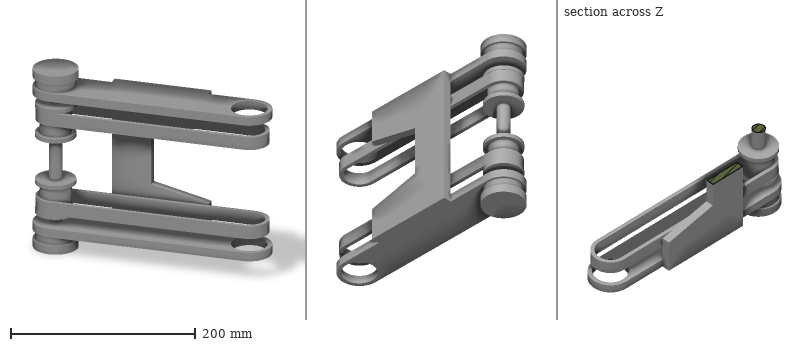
import cadquery as cq

AXIS_SPACING = 220.0

ROD_DIAMETER = 15.0
FLANGE_DIAMETER = 45.0
HUB_DIAMETER = 35.0
CAP_DIAMETER = 50.0
CAP_THICKNESS = 10.0
COLLAR_DIAMETER = 45.0
COLLAR_THICKNESS = 10.0

ARM_WIDTH = 50.0
ARM_THICKNESS = 10.0
ARM_OUTER_Z = 85.0
ARM_INNER_Z = ARM_OUTER_Z - ARM_THICKNESS
ARM_HOLE_DIAMETER = 40.0

PULLEY_INNER_Z = 25.0
PULLEY_OUTER_Z = 65.0
FLANGE_THICKNESS = 5.0
BELT_WIDTH = 15.0
BELT_OUTER_DIAMETER = 44.0
BELT_OUTER_Z = PULLEY_OUTER_Z - FLANGE_THICKNESS
BELT_INNER_Z = BELT_OUTER_Z - BELT_WIDTH
HUB_INNER_Z = PULLEY_INNER_Z + FLANGE_THICKNESS

BACK_THICKNESS = 10.0
BACK_LEFT_X = 56.0
BACK_LENGTH = 110.0
BACK_RIGHT_X = BACK_LEFT_X + BACK_LENGTH
NOTCH_BOTTOM_X = 100.7
NOTCH_BOTTOM_HALF_HEIGHT = 30.0
NOTCH_MOUTH_HALF_HEIGHT = 45.0


def disc(diameter, z_low, z_high):
    """Solid cylinder on the rod axis between two heights."""
    return cq.Workplane("XY").workplane(offset=z_low).circle(diameter / 2).extrude(z_high - z_low)


def round_ended_bar(width, z_low, z_high):
    """Bar with full-round ends, centred on the rod axis and the far arm axis."""
    return (
        cq.Workplane("XY")
        .workplane(offset=z_low)
        .center(AXIS_SPACING / 2, 0)
        .slot2D(AXIS_SPACING + width, width)
        .extrude(z_high - z_low)
    )


def arm():
    """Upper arm plate with the open hole at its far end."""
    plate = round_ended_bar(ARM_WIDTH, ARM_INNER_Z, ARM_OUTER_Z)
    hole = disc(ARM_HOLE_DIAMETER, ARM_INNER_Z, ARM_OUTER_Z).translate((AXIS_SPACING, 0, 0))
    return plate.cut(hole)


def end_cap():
    """Collar and cap stacked on the outside of the upper arm."""
    collar_top_z = ARM_OUTER_Z + COLLAR_THICKNESS
    collar = disc(COLLAR_DIAMETER, ARM_OUTER_Z, collar_top_z)
    cap = disc(CAP_DIAMETER, collar_top_z, collar_top_z + CAP_THICKNESS)
    return collar.union(cap)


def pulley():
    """Upper pulley: hub with a flange at each end."""
    inner_flange = disc(FLANGE_DIAMETER, PULLEY_INNER_Z, HUB_INNER_Z)
    hub = disc(HUB_DIAMETER, HUB_INNER_Z, BELT_OUTER_Z)
    outer_flange = disc(FLANGE_DIAMETER, BELT_OUTER_Z, PULLEY_OUTER_Z)
    return inner_flange.union(hub).union(outer_flange)


def belt():
    """Upper belt loop, its inside face resting on the pulley hub."""
    outside = round_ended_bar(BELT_OUTER_DIAMETER, BELT_INNER_Z, BELT_OUTER_Z)
    inside = round_ended_bar(HUB_DIAMETER, BELT_INNER_Z, BELT_OUTER_Z)
    return outside.cut(inside)


def back_plate():
    """Upright plate behind the arms with a tapered notch in its +X edge."""
    return (
        cq.Workplane("XZ", origin=(0, ARM_WIDTH / 2, 0))
        .moveTo(BACK_LEFT_X, -ARM_OUTER_Z)
        .lineTo(BACK_RIGHT_X, -ARM_OUTER_Z)
        .lineTo(BACK_RIGHT_X, -NOTCH_MOUTH_HALF_HEIGHT)
        .lineTo(NOTCH_BOTTOM_X, -NOTCH_BOTTOM_HALF_HEIGHT)
        .lineTo(NOTCH_BOTTOM_X, NOTCH_BOTTOM_HALF_HEIGHT)
        .lineTo(BACK_RIGHT_X, NOTCH_MOUTH_HALF_HEIGHT)
        .lineTo(BACK_RIGHT_X, ARM_OUTER_Z)
        .lineTo(BACK_LEFT_X, ARM_OUTER_Z)
        .close()
        .extrude(-BACK_THICKNESS)
    )


upper_half = arm().union(end_cap()).union(pulley()).union(belt())
lower_half = upper_half.mirror("XY")
rod = disc(ROD_DIAMETER, -ARM_OUTER_Z, ARM_OUTER_Z)

result = rod.union(upper_half).union(lower_half).union(back_plate())